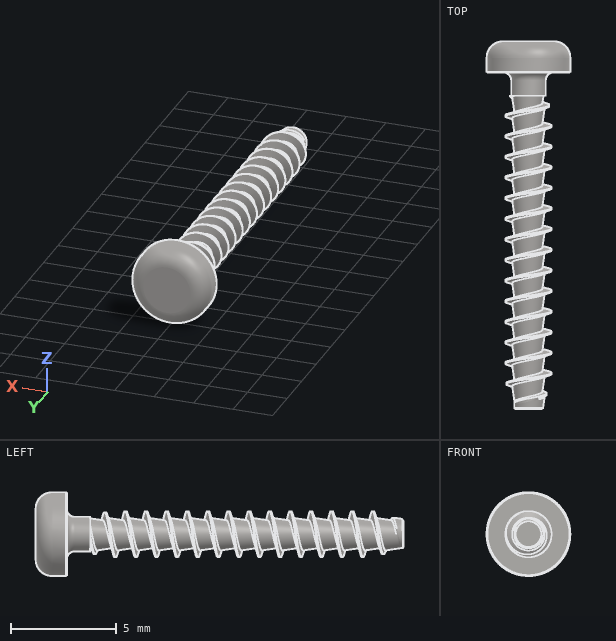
import cadquery as cq
import math


HEAD_DIAMETER = 4.0
HEAD_HEIGHT = 1.5
HEAD_CROWN_RADIUS = 0.8
HEAD_RIM_CHAMFER = 0.05
NECK_DIAMETER = 1.66
NECK_FLARE_RADIUS = 1.13
NECK_FLARE_LENGTH = 0.36
NECK_LENGTH = 1.1

SCREW_LENGTH = 16.0
TIP_FACE_RADIUS = 0.61
TIP_BEVEL_SLOPE = 0.6

THREAD_DIAMETER = 2.2
PITCH = 0.98
CREST_WIDTH = 0.06
FLANK_BASE_WIDTH = 0.24
RIDGE_RADIUS = 0.78
CORE_RADIUS = 0.67

FIRST_CREST_Y = -1.07
THREAD_END_TURN = 15
LEAD_IN_TURNS = 1.1
LEAD_IN_RADIUS = 0.68
RUN_OUT_TURNS = 1.0
RUN_OUT_RADIUS = 0.90

BODY_START_TURN = -1.625
BODY_TURNS = 18
POINTS_PER_TURN = 16

HEAD_RADIUS = HEAD_DIAMETER / 2
NECK_RADIUS = NECK_DIAMETER / 2
THREAD_RADIUS = THREAD_DIAMETER / 2


def make_head_and_neck():
    """Revolved head with rounded crown, chamfered rim and flared neck."""
    return (
        cq.Workplane("XY")
        .moveTo(0, -NECK_LENGTH)
        .lineTo(NECK_RADIUS, -NECK_LENGTH)
        .lineTo(NECK_RADIUS, -NECK_FLARE_LENGTH)
        .tangentArcPoint((NECK_FLARE_RADIUS, 0), relative=False)
        .lineTo(HEAD_RADIUS - HEAD_RIM_CHAMFER, 0)
        .lineTo(HEAD_RADIUS, HEAD_RIM_CHAMFER)
        .lineTo(HEAD_RADIUS, HEAD_HEIGHT - HEAD_CROWN_RADIUS)
        .tangentArcPoint((HEAD_RADIUS - HEAD_CROWN_RADIUS, HEAD_HEIGHT), relative=False)
        .lineTo(0, HEAD_HEIGHT)
        .close()
        .revolve(360, (0, 0, 0), (0, 1, 0))
    )


def crest_radius(turn):
    """Crest radius, reduced linearly near the neck and near the tip."""
    run_out = min(1, max(0, turn / RUN_OUT_TURNS))
    lead_in = min(1, max(0, (THREAD_END_TURN - turn) / LEAD_IN_TURNS))
    return min(
        RUN_OUT_RADIUS + (THREAD_RADIUS - RUN_OUT_RADIUS) * run_out,
        LEAD_IN_RADIUS + (THREAD_RADIUS - LEAD_IN_RADIUS) * lead_in,
    )


def thread_profile(turn):
    """Outline of one pitch as (radius, axial offset from the crest centre), head side first."""
    crest = crest_radius(turn)
    ridge = min(RIDGE_RADIUS, crest)
    head_side = FLANK_BASE_WIDTH / 2
    return [
        (CORE_RADIUS, head_side),
        (crest, CREST_WIDTH / 2),
        (crest, -CREST_WIDTH / 2),
        (ridge, -FLANK_BASE_WIDTH / 2),
        (CORE_RADIUS, head_side - PITCH),
    ]


def helix_point(turn, radius, offset):
    """Point on the right-hand helix; whole turns lie on the -X side."""
    angle = 2 * math.pi * turn
    y = FIRST_CREST_Y - PITCH * turn + offset
    return cq.Vector(-radius * math.cos(angle), y, -radius * math.sin(angle))


def section_points(turn):
    """Profile corners placed in the half-plane at this turn."""
    return [helix_point(turn, radius, offset) for radius, offset in thread_profile(turn)]


def axis_points(turn):
    """Head-side and tip-side ends of this turn's pitch on the screw axis."""
    head_side = FLANK_BASE_WIDTH / 2
    return [helix_point(turn, 0, head_side), helix_point(turn, 0, head_side - PITCH)]


def turn_rails(start):
    """Helical edges traced by the profile corners over one turn."""
    sections = [section_points(start + i / POINTS_PER_TURN) for i in range(POINTS_PER_TURN + 1)]
    return [cq.Edge.makeSpline(list(points)) for points in zip(*sections)]


def half_plane_face(turn):
    """Flat face between the axis and the profile at one end of the helical body."""
    head_end, tip_end = axis_points(turn)
    outline = [head_end] + section_points(turn) + [tip_end]
    return cq.Face.makeFromWires(cq.Wire.makePolygon(outline, close=True))


def make_helical_body():
    """Solid shank with thread, closed at each end by a helicoid and a flat step."""
    starts = [BODY_START_TURN + i for i in range(BODY_TURNS)]
    body_end = BODY_START_TURN + BODY_TURNS
    rails_by_turn = [turn_rails(start) for start in starts]
    faces = [half_plane_face(BODY_START_TURN), half_plane_face(body_end)]
    for rails in rails_by_turn:
        for rail, next_rail in zip(rails, rails[1:]):
            faces.append(cq.Face.makeRuledSurface(rail, next_rail))
    head_rail = rails_by_turn[0][0]
    tip_rail = rails_by_turn[-1][-1]
    faces.append(cq.Face.makeRuledSurface(head_rail, cq.Edge.makeLine(*axis_points(BODY_START_TURN))))
    faces.append(cq.Face.makeRuledSurface(tip_rail, cq.Edge.makeLine(*axis_points(body_end))))
    return cq.Workplane(obj=cq.Solid.makeSolid(cq.Shell.makeShell(faces)))


def make_shank_envelope():
    """Cylinder from the neck to the tip, bevelled down to the tip face."""
    bevel_width = HEAD_RADIUS - TIP_FACE_RADIUS
    return (
        cq.Workplane("XY")
        .moveTo(0, -NECK_LENGTH)
        .lineTo(HEAD_RADIUS, -NECK_LENGTH)
        .lineTo(HEAD_RADIUS, -SCREW_LENGTH + bevel_width * TIP_BEVEL_SLOPE)
        .lineTo(TIP_FACE_RADIUS, -SCREW_LENGTH)
        .lineTo(0, -SCREW_LENGTH)
        .close()
        .revolve(360, (0, 0, 0), (0, 1, 0))
    )


shank = make_helical_body().intersect(make_shank_envelope())
screw = make_head_and_neck().union(shank)
result = cq.Workplane(obj=screw.solids().val())